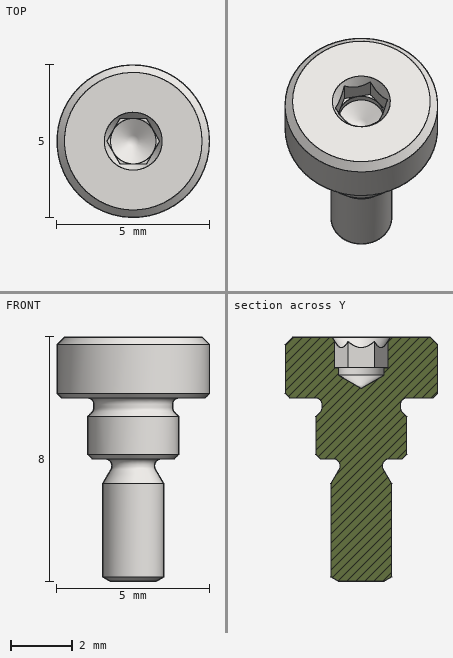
import cadquery as cq
import math


head_radius = 5.0 / 2
head_height = 2.0
head_top_chamfer = 0.25
head_bottom_chamfer = 0.15

shoulder_radius = 2.98 / 2
shoulder_length = 2.0
shoulder_chamfer = 0.16

thread_radius = 2.0 / 2
thread_length = 4.0
thread_chamfer_width = 0.25
thread_chamfer_angle = 30.0

undercut_fillet = 0.2
shoulder_undercut_radius = 2.59 / 2
shoulder_undercut_length = 0.6
shoulder_undercut_angle = 45.0
thread_undercut_radius = 1.41 / 2
thread_undercut_length = 0.8
thread_undercut_angle = 30.0

hex_across_flats = 1.5
hex_depth = 1.0
countersink_radius = 1.9 / 2
countersink_half_angle = 30.0
pilot_radius = 1.49 / 2
pilot_wall_depth = 0.25
pilot_tip_half_angle = 60.0

head_bottom = 0.0
head_top = head_bottom + head_height
shoulder_bottom = head_bottom - shoulder_length
thread_bottom = shoulder_bottom - thread_length


def add_undercut(profile, top, neck_radius, outer_radius, length, angle):
    """Draw a filleted neck down from a flat face, ending in a cone that widens to the outer radius."""
    def arc_point(center_z, degrees):
        turn = math.radians(degrees)
        return (
            neck_radius + undercut_fillet * (1 - math.cos(turn)),
            center_z + undercut_fillet * math.sin(turn),
        )

    upper_center = top - undercut_fillet
    cone_start_radius = arc_point(0, -angle)[0]
    cone_height = (outer_radius - cone_start_radius) / math.tan(math.radians(angle))
    lower_center = top - length + cone_height + undercut_fillet * math.sin(math.radians(angle))
    return (
        profile.lineTo(*arc_point(upper_center, 90))
        .threePointArc(arc_point(upper_center, 45), arc_point(upper_center, 0))
        .lineTo(*arc_point(lower_center, 0))
        .threePointArc(arc_point(lower_center, -angle / 2), arc_point(lower_center, -angle))
        .lineTo(outer_radius, top - length)
    )


def make_body():
    """Revolve the half profile, drawn from the head top down to the thread end."""
    profile = (
        cq.Workplane("XZ")
        .moveTo(0, head_top)
        .lineTo(head_radius - head_top_chamfer, head_top)
        .lineTo(head_radius, head_top - head_top_chamfer)
        .lineTo(head_radius, head_bottom + head_bottom_chamfer)
        .lineTo(head_radius - head_bottom_chamfer, head_bottom)
    )
    profile = add_undercut(
        profile,
        head_bottom,
        shoulder_undercut_radius,
        shoulder_radius,
        shoulder_undercut_length,
        shoulder_undercut_angle,
    )
    profile = (
        profile.lineTo(shoulder_radius, shoulder_bottom + shoulder_chamfer)
        .lineTo(shoulder_radius - shoulder_chamfer, shoulder_bottom)
    )
    profile = add_undercut(
        profile,
        shoulder_bottom,
        thread_undercut_radius,
        thread_radius,
        thread_undercut_length,
        thread_undercut_angle,
    )
    thread_chamfer_height = thread_chamfer_width * math.tan(math.radians(thread_chamfer_angle))
    return (
        profile.lineTo(thread_radius, thread_bottom + thread_chamfer_height)
        .lineTo(thread_radius - thread_chamfer_width, thread_bottom)
        .lineTo(0, thread_bottom)
        .close()
        .revolve(360, (0, 0, 0), (0, 1, 0))
    )


def make_socket():
    """Revolve the countersink and pilot hole about Z and join them with the hexagon."""
    hex_floor = head_top - hex_depth
    pilot_wall_bottom = hex_floor - pilot_wall_depth
    pilot_tip = pilot_wall_bottom - pilot_radius / math.tan(math.radians(pilot_tip_half_angle))
    countersink_depth = (countersink_radius - pilot_radius) / math.tan(math.radians(countersink_half_angle))
    round_hole = (
        cq.Workplane("XZ")
        .moveTo(0, head_top)
        .lineTo(countersink_radius, head_top)
        .lineTo(pilot_radius, head_top - countersink_depth)
        .lineTo(pilot_radius, pilot_wall_bottom)
        .lineTo(0, pilot_tip)
        .close()
        .revolve(360, (0, 0, 0), (0, 1, 0))
    )
    across_corners = hex_across_flats / math.cos(math.pi / 6)
    hexagon = (
        cq.Workplane("XY")
        .workplane(offset=hex_floor)
        .polygon(6, across_corners)
        .extrude(hex_depth)
    )
    return round_hole.union(hexagon)


result = make_body().cut(make_socket())